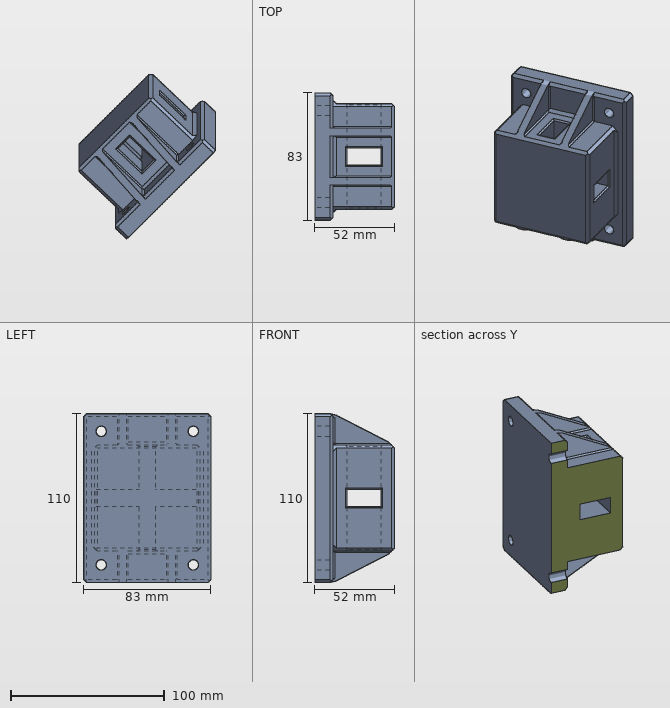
import cadquery as cq
import math

plate_thickness = 12.0
plate_width = 83.0
plate_height = 110.0
plate_top = plate_height / 2

part_depth = 52.0
block_side = 69.0
block_length = part_depth - plate_thickness
block_top = block_side / 2

chamfer = 2.0
small_chamfer = 1.0

gusset_thickness = 5.0
gusset_spacing = 32.0

window_length = 22.0
window_width = 11.0
window_x = plate_thickness + block_length / 2

hole_diameter = 6.6
hole_spacing_y = 60.0
hole_spacing_z = 87.0


def slab_across_y(outline, thickness):
    """Prism with an XZ outline, centred on Y = 0."""
    return cq.Workplane("XZ").polyline(outline).close().extrude(thickness / 2, both=True)


def chamfered_slab(start_x, length, width, height):
    """Box along X with its long edges and its +X rim chamfered, the chamfers mitred at the corners."""
    slab = cq.Workplane("YZ", origin=(start_x, 0, 0)).rect(width, height).extrude(length)
    rim_chamfered = slab.faces(">X").edges().chamfer(chamfer)
    return slab.edges("|X").chamfer(chamfer).intersect(rim_chamfered)


def flare_outline(half_width, size):
    """Symmetric outline that widens by size where it meets the plate; X is the first coordinate."""
    return [
        (plate_thickness, half_width + size),
        (plate_thickness + size, half_width),
        (plate_thickness + size, -half_width),
        (plate_thickness, -half_width - size),
    ]


def make_side_flares():
    """Flares at the foot of the block's Y sides, ending on the planes of its corner chamfers."""
    flares = cq.Workplane("XY").polyline(flare_outline(block_side / 2, chamfer)).close()
    flares = flares.extrude(block_side / 2, both=True)
    reach = block_side - chamfer
    corner_planes = (
        cq.Workplane("YZ")
        .polyline([(reach, 0), (0, reach), (-reach, 0), (0, -reach)])
        .close()
        .extrude(part_depth)
    )
    return flares.intersect(corner_planes)


def make_end_flares():
    """Flares at the foot of the block's top and bottom, filling the gap between the gussets."""
    return slab_across_y(flare_outline(block_top, chamfer), gusset_spacing)


def make_gusset_web():
    """Gusset above the block: a sloped plate with a relief at the foot and a bevelled tip."""
    run = block_length
    drop = plate_top - block_top
    slope_length = math.hypot(run, drop)
    tip_setback = chamfer / (1 - drop / run)
    outline = [
        (plate_thickness - chamfer, 0),
        (plate_thickness - chamfer, plate_top),
        (plate_thickness + chamfer * run / slope_length, plate_top - chamfer * drop / slope_length),
        (part_depth - tip_setback, block_top + tip_setback * drop / run),
        (part_depth - chamfer, block_top),
        (part_depth - chamfer, 0),
    ]
    return slab_across_y(outline, gusset_thickness)


def make_gusset_feet():
    """Small flares joining a gusset's sides to the plate and to the top of the block."""
    half = gusset_thickness / 2
    plate_foot = cq.Workplane("XY").polyline(flare_outline(half, small_chamfer)).close().extrude(plate_top)
    block_foot = (
        cq.Workplane("YZ", origin=(plate_thickness, 0, 0))
        .polyline([
            (-half - small_chamfer, block_top),
            (-half, block_top + small_chamfer),
            (half, block_top + small_chamfer),
            (half + small_chamfer, block_top),
        ])
        .close()
        .extrude(block_length)
    )
    rim_top = plate_top - chamfer
    rim_x = part_depth - chamfer
    limits = [
        (plate_thickness, block_top),
        (plate_thickness, rim_top),
        (plate_thickness + small_chamfer, rim_top - small_chamfer),
        (plate_thickness + small_chamfer, block_top + small_chamfer),
        (rim_x - small_chamfer, block_top + small_chamfer),
        (rim_x, block_top),
    ]
    return plate_foot.union(block_foot).intersect(slab_across_y(limits, plate_width))


def make_window(plane):
    """Cutter for a window through the block along the plane's normal, with both mouths chamfered."""
    half = block_side / 2
    cutter = cq.Workplane(plane).center(window_x, 0).rect(window_length, window_width)
    cutter = cutter.extrude(half, both=True)
    for side in (1, -1):
        mouth = (
            cq.Workplane(plane)
            .workplane(offset=side * half)
            .center(window_x, 0)
            .rect(window_length + 2 * small_chamfer, window_width + 2 * small_chamfer)
            .workplane(offset=-side * small_chamfer)
            .rect(window_length, window_width)
            .loft()
        )
        cutter = cutter.union(mouth)
    return cutter


def make_mounting_holes():
    return (
        cq.Workplane("YZ")
        .rarray(hole_spacing_y, hole_spacing_z, 2, 2)
        .circle(hole_diameter / 2)
        .extrude(plate_thickness)
    )


body = chamfered_slab(0, plate_thickness, plate_width, plate_height)
body = body.union(chamfered_slab(plate_thickness, block_length, block_side, block_side))
body = body.union(make_side_flares())
body = body.union(make_end_flares())

upper_gusset = make_gusset_web().union(make_gusset_feet())
for gusset in (upper_gusset, upper_gusset.mirror("XY")):
    for gusset_y in (-gusset_spacing / 2, gusset_spacing / 2):
        body = body.union(gusset.translate((0, gusset_y, 0)))

for window_plane in ("XY", "XZ"):
    body = body.cut(make_window(window_plane))

result = body.cut(make_mounting_holes())